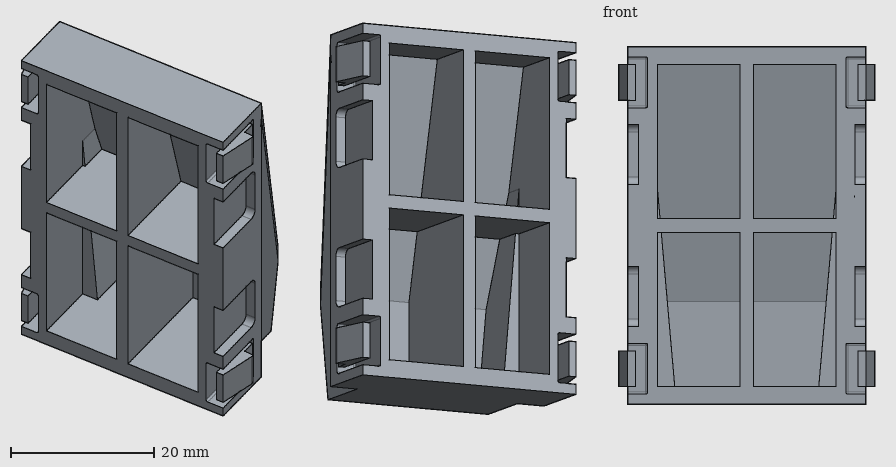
import math

import cadquery as cq

frame_width = 33.3
frame_depth = 10.05
frame_height = 50.0

hood_rise = 9.15
hood_slope_angle = 15.0
hood_side_angle = 5.0
hood_side_top = 47.3

rim_side = 4.15
rim_end = 2.5
rib_width = 1.9
back_wall = 2.2
slope_wall = 2.5
ledge_depth = 9.5
ledge_top = 30.4

grip_height = 8.4
grip_depth = 8.4
grip_inset = 1.5
grip_corner_radius = 1.05
grip_offset = 9.9

latch_offset = 20.0
pocket_height = 7.1
pocket_depth = 8.0
pocket_inset = 2.8
pocket_edge_radius = 0.28
hook_height = 5.0
hook_thickness = 1.1
hook_reach = 1.25
tip_start = 5.5
tip_end = 5.9
shoulder_depth = 6.0
arm_setback = 0.2

half_width = frame_width / 2
mid_height = frame_height / 2
total_depth = frame_depth + hood_rise
slope_run = 1 / math.tan(math.radians(hood_slope_angle))
side_run = math.tan(math.radians(hood_side_angle))


def box(x_range, y_range, z_range):
    """Axis-aligned box from its lower and upper limits."""
    size = [high - low for low, high in (x_range, y_range, z_range)]
    corner = (x_range[0], y_range[0], z_range[0])
    return cq.Workplane("XY").box(*size, centered=False).translate(corner)


def prism_along_x(points, half_length):
    """Solid with a (Y, Z) outline, centred on X = 0."""
    return cq.Workplane("YZ").polyline(points).close().extrude(half_length, both=True)


def prism_along_y(points, start, end):
    """Solid with an (X, Z) outline between two Y positions."""
    outline = cq.Workplane("XZ", origin=(0, start, 0)).polyline(points).close()
    return outline.extrude(start - end)


def prism_along_z(points, height):
    """Solid with an (X, Y) outline, standing on Z = 0."""
    return cq.Workplane("XY").polyline(points).close().extrude(height)


def tapered_band(top_half_width, top, start, end):
    """Symmetric trapezoid that narrows downwards at the hood's side angle."""
    lower = top_half_width - top * side_run
    upper = top_half_width + (frame_height - top) * side_run
    points = [(-lower, 0), (lower, 0), (upper, frame_height), (-upper, frame_height)]
    return prism_along_y(points, start, end)


def make_hood():
    slope_foot = frame_height - hood_rise * slope_run
    wedge = prism_along_x(
        [(frame_depth, 0), (total_depth, 0), (total_depth, slope_foot), (frame_depth, frame_height)],
        half_width,
    )
    back_half_width = half_width - hood_rise * slope_run * side_run
    plan = prism_along_z(
        [
            (-half_width, frame_depth),
            (half_width, frame_depth),
            (back_half_width, total_depth),
            (-back_half_width, total_depth),
        ],
        frame_height,
    )
    sides = tapered_band(half_width, hood_side_top, frame_depth, total_depth)
    return wedge.intersect(plan).intersect(sides)


def make_cavity():
    """The four compartments as one cutting body."""
    outer_x = half_width - rim_side
    floor = total_depth - back_wall
    slope_drop = slope_wall / math.sin(math.radians(hood_slope_angle))

    def slope_height(y):
        return frame_height - slope_drop - (y - frame_depth) * slope_run

    top = frame_height - rim_end
    slope_start = frame_depth - (top - slope_height(frame_depth)) / slope_run
    profile = prism_along_x(
        [
            (0, rim_end),
            (floor, rim_end),
            (floor, slope_height(floor)),
            (slope_start, top),
            (0, top),
        ],
        outer_x,
    )
    front = box((-outer_x, outer_x), (0, ledge_depth), (0, frame_height))
    narrowed = tapered_band(outer_x, ledge_top, ledge_depth, total_depth)
    upright = box((-rib_width / 2, rib_width / 2), (0, total_depth), (0, frame_height))
    crossbar = box(
        (-outer_x, outer_x),
        (0, total_depth),
        (mid_height - rib_width / 2, mid_height + rib_width / 2),
    )
    return profile.intersect(front.union(narrowed)).cut(upright).cut(crossbar)


def make_grip(z_centre):
    """Grip recess cutter on the -X side."""
    length = 2 * grip_depth
    cutter = cq.Workplane("XY").box(2 * grip_inset, length, grip_height)
    cutter = cutter.edges("|X").fillet(grip_corner_radius)
    return cutter.translate((-half_width, 0, z_centre))


def make_latch_pocket(z_centre):
    """Latch pocket cutter on the -X side, open at the front, with rounded inner edges."""
    cutter = cq.Workplane("XY").box(2 * pocket_inset, 2 * pocket_depth, pocket_height)
    cutter = cutter.edges().fillet(pocket_edge_radius)
    return cutter.translate((-half_width, 0, z_centre))


def make_hook(z_centre):
    """Snap hook on the -X side: an arm with a barb that rises from the front to a narrow flat."""
    tip_x = -half_width - hook_reach
    arm_outer_x = -half_width + arm_setback
    arm_inner_x = -half_width + hook_thickness
    outline = [
        (-half_width, 0),
        (tip_x, tip_start),
        (tip_x, tip_end),
        (arm_outer_x, shoulder_depth),
        (arm_outer_x, pocket_depth),
        (arm_inner_x, pocket_depth),
        (arm_inner_x, 0),
    ]
    return prism_along_z(outline, hook_height).translate((0, 0, z_centre - hook_height / 2))


def both_sides(body):
    return body.union(body.mirror("YZ"))


result = box((-half_width, half_width), (0, frame_depth), (0, frame_height))
result = result.union(make_hood()).cut(make_cavity())
for direction in (-1, 1):
    latch_z = mid_height + direction * latch_offset
    result = result.cut(both_sides(make_grip(mid_height + direction * grip_offset)))
    result = result.cut(both_sides(make_latch_pocket(latch_z)))
    result = result.union(both_sides(make_hook(latch_z)))